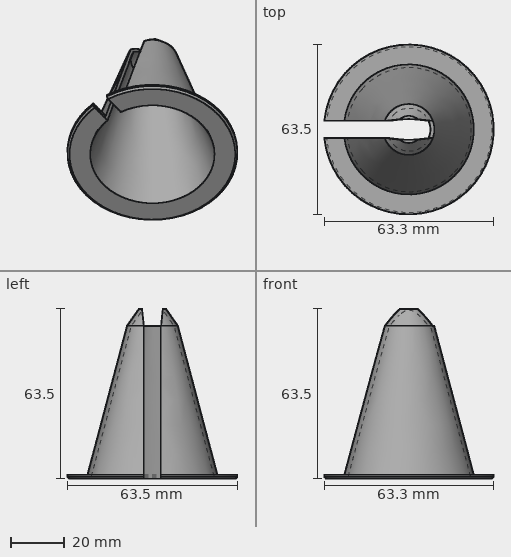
import cadquery as cq

total_height = 63.5
flange_radius = 31.75
flange_thickness = 1.6
flange_chamfer = 0.8

cone_base_radius = 24.3
shoulder_radius = 9.525
tip_height = 6.35
tip_radius = 5.07
wall = 1.5

slot_width = 6.35
tip_slot_top_width = 7.7

shoulder_height = total_height - tip_height
cone_slope = (cone_base_radius - shoulder_radius) / (shoulder_height - flange_thickness)
bore_base_radius = cone_base_radius + cone_slope * flange_thickness - wall


def make_shell():
    """Revolve the thin wall of flange, cone and tip about Z."""
    profile = [
        (bore_base_radius, 0),
        (flange_radius - flange_chamfer, 0),
        (flange_radius, flange_chamfer),
        (flange_radius, flange_thickness),
        (cone_base_radius, flange_thickness),
        (shoulder_radius, shoulder_height),
        (tip_radius, total_height),
        (tip_radius - wall, total_height),
        (shoulder_radius - wall, shoulder_height),
    ]
    return cq.Workplane("XZ").polyline(profile).close().revolve(360, (0, 0), (0, 1))


def make_side_slot():
    """Parallel slot through the -X side, from the centre outwards."""
    cutter = cq.Workplane("XY").box(
        flange_radius, slot_width, total_height, centered=(False, True, False)
    )
    return cutter.translate((-flange_radius, 0, 0))


def make_tip_slot():
    """Slot across the whole tip along X, widening upwards from the shoulder."""
    section = [
        (-slot_width / 2, shoulder_height),
        (slot_width / 2, shoulder_height),
        (tip_slot_top_width / 2, total_height),
        (-tip_slot_top_width / 2, total_height),
    ]
    return cq.Workplane("YZ").polyline(section).close().extrude(shoulder_radius, both=True)


result = make_shell().cut(make_side_slot()).cut(make_tip_slot())